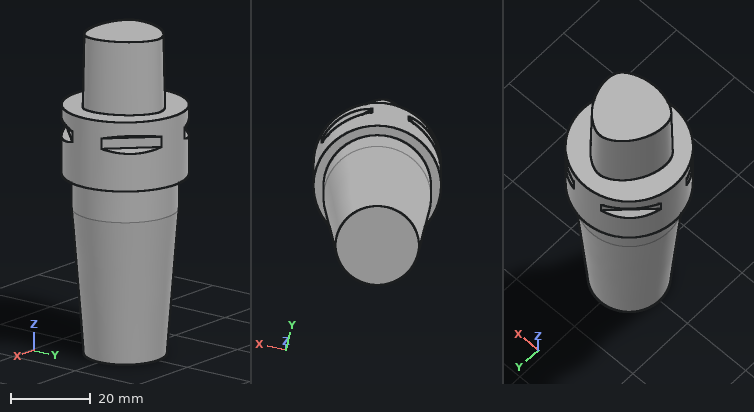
import cadquery as cq
import math

TOTAL_HEIGHT = 84.0
CONE_HEIGHT = 38.05
NECK_HEIGHT = 8.9
COLLAR_HEIGHT = 18.1
COLLAR_BOTTOM = CONE_HEIGHT + NECK_HEIGHT
COLLAR_TOP = COLLAR_BOTTOM + COLLAR_HEIGHT
SHANK_HEIGHT = TOTAL_HEIGHT - COLLAR_TOP

TIP_DIAMETER = 20.9
NECK_DIAMETER = 27.0
COLLAR_DIAMETER = 32.0

SHANK_BASE_WIDTH = 20.7
SHANK_TOP_WIDTH = 19.9
LOBE_HEIGHT = 0.75
LOBES = 3
OUTLINE_POINTS = 36

GROOVE_COUNT = 4
GROOVE_FIRST_ANGLE = 45.0
GROOVE_CENTER_Z = 59.1
GROOVE_FLOOR_DISTANCE = 14.1
GROOVE_FLOOR_HEIGHT = 2.7
GROOVE_MOUTH_HEIGHT = 4.7


def lobed_wire(width, z):
    """Closed three-lobed curve of constant width, with one lobe pointing to +Y."""
    points = []
    for i in range(OUTLINE_POINTS):
        turn = 2 * math.pi * i / OUTLINE_POINTS
        reach = width / 2 - LOBE_HEIGHT * math.cos(LOBES * turn)
        slope = LOBES * LOBE_HEIGHT * math.sin(LOBES * turn)
        x = reach * math.sin(turn) + slope * math.cos(turn)
        y = -reach * math.cos(turn) + slope * math.sin(turn)
        points.append(cq.Vector(x, y, z))
    return cq.Wire.assembleEdges([cq.Edge.makeSpline(points, periodic=True)])


def make_shank():
    base = lobed_wire(SHANK_BASE_WIDTH, COLLAR_TOP)
    top = lobed_wire(SHANK_TOP_WIDTH, COLLAR_TOP + SHANK_HEIGHT)
    return cq.Workplane(obj=cq.Solid.makeLoft([base, top], True))


def make_groove_cutter(angle):
    """Trapezoid section at the collar surface, run straight across the collar."""
    mouth_distance = COLLAR_DIAMETER / 2
    floor_half = GROOVE_FLOOR_HEIGHT / 2
    mouth_half = GROOVE_MOUTH_HEIGHT / 2
    outer_distance = mouth_distance + (mouth_distance - GROOVE_FLOOR_DISTANCE)
    outer_half = mouth_half + (mouth_half - floor_half)
    return (
        cq.Workplane("XZ")
        .polyline([
            (GROOVE_FLOOR_DISTANCE, GROOVE_CENTER_Z - floor_half),
            (outer_distance, GROOVE_CENTER_Z - outer_half),
            (outer_distance, GROOVE_CENTER_Z + outer_half),
            (GROOVE_FLOOR_DISTANCE, GROOVE_CENTER_Z + floor_half),
        ])
        .close()
        .extrude(COLLAR_DIAMETER / 2, both=True)
        .rotate((0, 0, 0), (0, 0, 1), angle)
    )


def make_coupling():
    """Collar with its gripper grooves, carrying the lobed shank."""
    collar = (
        cq.Workplane("XY")
        .workplane(offset=COLLAR_BOTTOM)
        .circle(COLLAR_DIAMETER / 2)
        .extrude(COLLAR_HEIGHT)
    )
    for i in range(GROOVE_COUNT):
        angle = GROOVE_FIRST_ANGLE + i * 360 / GROOVE_COUNT
        collar = collar.cut(make_groove_cutter(angle))
    return collar.union(make_shank())


def make_nose():
    """Straight neck below the collar, then a cone narrowing to the tip."""
    return (
        cq.Workplane("XZ")
        .polyline([
            (0, 0),
            (TIP_DIAMETER / 2, 0),
            (NECK_DIAMETER / 2, CONE_HEIGHT),
            (NECK_DIAMETER / 2, COLLAR_BOTTOM),
            (0, COLLAR_BOTTOM),
        ])
        .close()
        .revolve(360, (0, 0, 0), (0, 1, 0))
    )


coupling = make_coupling()
nose = make_nose()

result = cq.Compound.makeCompound([coupling.val(), nose.val()])